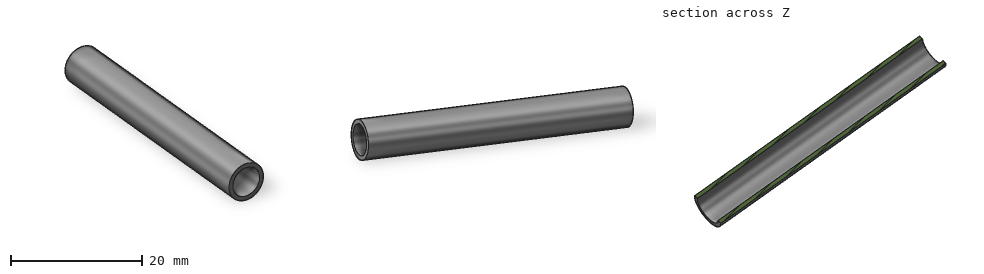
import cadquery as cq

length = 44.35
outer_diameter = 6.35
bore_diameter = 4.92

result = (
    cq.Workplane("YZ", origin=(-length / 2, 0, 0))
    .circle(outer_diameter / 2)
    .circle(bore_diameter / 2)
    .extrude(length)
)